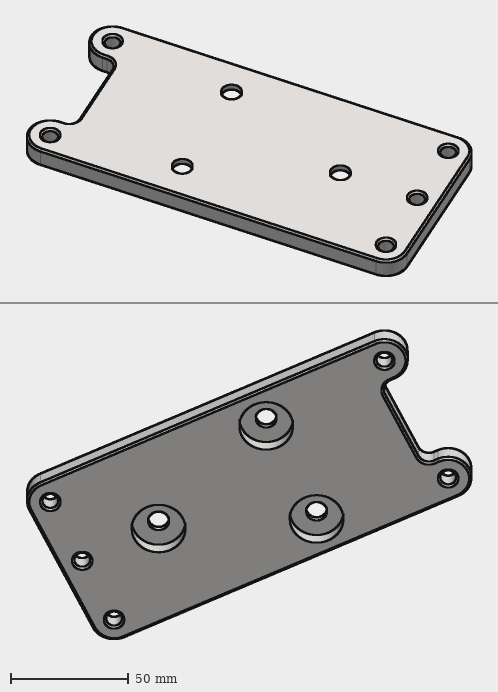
import cadquery as cq

length = 178.0
width = 83.0
thickness = 10.0
corner_radius = 10.0
edge_chamfer = 1.0

notch_depth = 16.9
notch_corner_radius = 5.0
notch_width = width - 4 * corner_radius

end_hole_diameter = 6.8
end_hole_x = length / 2 - corner_radius
end_hole_y = width / 2 - corner_radius
end_holes = [
    (-end_hole_x, -end_hole_y),
    (-end_hole_x, end_hole_y),
    (end_hole_x, -end_hole_y),
    (end_hole_x, 0),
    (end_hole_x, end_hole_y),
]

bored_hole_diameter = 8.9
counterbore_diameter = 23.0
counterbore_depth = 7.0
pair_x = -20.0
pair_y = 25.0
single_x = 42.9
bored_holes = [(pair_x, -pair_y), (pair_x, pair_y), (single_x, 0)]


def make_outline():
    """Closed outline of the plate, with round tabs beside the notch."""
    left = -length / 2
    right = length / 2
    top = width / 2
    tab_x = left + corner_radius
    notch_x = left + notch_depth
    notch_y = notch_width / 2
    notch_straight_y = notch_y - notch_corner_radius
    fillet_x = notch_x - notch_corner_radius
    return (
        cq.Workplane("XY")
        .moveTo(tab_x, -top)
        .lineTo(end_hole_x, -top)
        .radiusArc((right, -end_hole_y), -corner_radius)
        .lineTo(right, end_hole_y)
        .radiusArc((end_hole_x, top), -corner_radius)
        .lineTo(tab_x, top)
        .threePointArc((left, end_hole_y), (tab_x, notch_y))
        .lineTo(fillet_x, notch_y)
        .radiusArc((notch_x, notch_straight_y), notch_corner_radius)
        .lineTo(notch_x, -notch_straight_y)
        .radiusArc((fillet_x, -notch_y), notch_corner_radius)
        .lineTo(tab_x, -notch_y)
        .threePointArc((left, -end_hole_y), (tab_x, -top))
        .close()
    )


def make_hole_cutters(points, diameter):
    """Cylinders through the plate thickness."""
    return cq.Workplane("XY").pushPoints(points).circle(diameter / 2).extrude(thickness)


plate = make_outline().extrude(thickness)
plate = plate.cut(make_hole_cutters(end_holes, end_hole_diameter))
plate = plate.faces("<Z or >Z").edges().chamfer(edge_chamfer)

result = (
    plate.faces("<Z")
    .workplane(origin=(0, 0, 0))
    .pushPoints([(x, -y) for x, y in bored_holes])
    .cboreHole(bored_hole_diameter, counterbore_diameter, counterbore_depth)
)